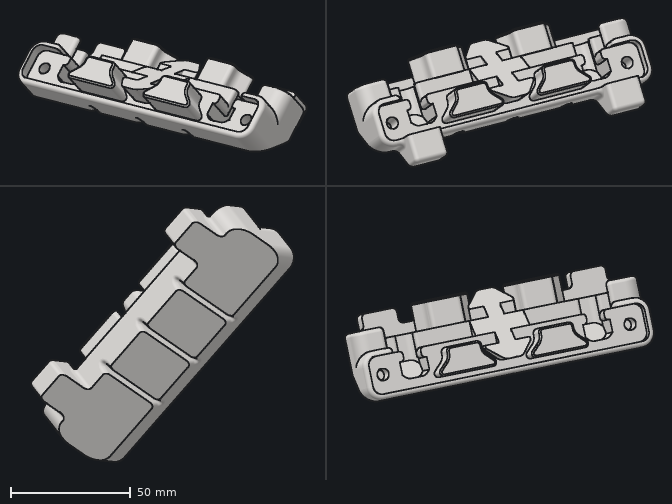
import cadquery as cq
import math


length = 125.6
outer_v = -9.2
peak_v = 12.0
corner_radius = 6.3
wall = 2.5
rim_height = 21.2
rim_fillet = 1.9
floor_height = 16.3
ridge_v = peak_v - wall
recess_outer_v = outer_v + wall
end_rim_start = 48.7
edge_fillet = 2.0

pin_hole_diameter = 5
pin_hole_depth = 10
pin_hole_x = 54
pin_hole_v = (outer_v + peak_v) / 2

plug_x = 20.1
plug_narrow = 7.5
plug_wide = 12.3
plug_top_v = 7.4
plug_shoulder_v = -2.0
plug_neck_v = plug_shoulder_v + plug_wide - plug_narrow
plug_bottom_v = -4.4
plug_height = 28.4
plug_root = 1.3
plug_top_fillet = 2.0
plug_neck_fillet = 4.5
plug_foot_fillet = 1.6
plug_chamfer = 0.8

nose_v = -2.5
nose_flat = 2.3
nose_radius = 3.6

hook_half_width = 9.8
hook_shoulder_v = 4.8
hook_neck = 3.5
hook_fillet = 0.5
hook_root = 1.3
deck_z = (floor_height + ridge_v) / math.sqrt(2)
bridge_half_length = 11.8
bridge_root = 1.3

slot_x = 40.1
slot_half_width = 5.9
slot_shoulder_v = 5.2
slot_neck = 3.9
slot_fillet = 1.5
slot_floor_z = 1.9

tab_x = 45.6
tab_width = 15.3
tab_outer_v = -19.2
tab_height = 28.1

groove_pitch = 25.0
groove_places = (-groove_pitch, 0, groove_pitch)
groove_top_radius = 0.8
groove_taper = math.radians(11)
groove_height = 3.5
groove_fillet = 2.0

beyond = 50.2
slack = 0.01

wing_axis = cq.Vector(0, -1, 1).normalized()


def wing_plane(height=0):
    """Plane across the axis of the -Y wing, with its X along the part and its Y along V."""
    return cq.Plane(origin=(wing_axis * height).toTuple(), xDir=(1, 0, 0), normal=wing_axis.toTuple())


def at_height(height):
    return cq.Workplane(wing_plane(height))


def wing_place(edge, both_wings):
    """Middle of an edge as |X|, V and N of the -Y wing, or of whichever wing it is on."""
    middle = edge.Center()
    y = -abs(middle.y) if both_wings else middle.y
    place = wing_plane().toLocalCoords(cq.Vector(abs(middle.x), y, middle.z))
    return place.x, place.y, place.z


def same(a, b):
    return abs(a - b) < slack


def edges_where(shape, test, both_wings=False):
    """Edges of shape whose middle, given as |X|, V and N, passes the test."""
    picked = [edge for edge in shape.edges().vals() if test(*wing_place(edge, both_wings))]
    return shape.newObject(picked)


def along_axis(shape, corner_x, corner_v):
    """Edges of shape that run along the wing axis through a corner of its profile."""
    return edges_where(shape, lambda x, v, n: same(x, corner_x) and same(v, corner_v))


def both_ends(feature):
    return feature.union(feature.mirror("YZ"))


def recess():
    half_length = length / 2 - wall
    pocket = (
        at_height(floor_height)
        .center(0, (recess_outer_v + ridge_v) / 2)
        .rect(2 * half_length, ridge_v - recess_outer_v)
        .extrude(beyond)
    )
    for v in (recess_outer_v, ridge_v):
        pocket = along_axis(pocket, half_length, v).fillet(corner_radius - wall)
    return pocket


def wing():
    """Wing of the -Y side: its rim closes around the ends and is open along the ridge."""
    half_length = length / 2
    slab = (
        at_height(0)
        .moveTo(-half_length, outer_v)
        .lineTo(half_length, outer_v)
        .lineTo(half_length, peak_v)
        .lineTo(end_rim_start, peak_v)
        .lineTo(end_rim_start, ridge_v)
        .lineTo(-end_rim_start, ridge_v)
        .lineTo(-end_rim_start, peak_v)
        .lineTo(-half_length, peak_v)
        .close()
        .extrude(rim_height)
    )
    for v in (outer_v, peak_v):
        slab = along_axis(slab, half_length, v).fillet(corner_radius)
    slab = along_axis(slab, end_rim_start, peak_v).fillet(edge_fillet)
    slab = slab.cut(recess())

    def on_outer_edge_of_rim(x, v, n):
        past_end = x > half_length - wall + slack
        past_side = v < recess_outer_v - slack or v > ridge_v + slack
        return same(n, rim_height) and (past_end or past_side)

    return edges_where(slab, on_outer_edge_of_rim).fillet(rim_fillet)


def tab():
    """Lug that carries the outer wall of the recess on, past the rim and past the outer face."""
    block = (
        at_height(0)
        .center(tab_x, (tab_outer_v + recess_outer_v) / 2)
        .rect(tab_width, recess_outer_v - tab_outer_v)
        .extrude(tab_height)
    )
    exposed = edges_where(block, lambda x, v, n: n > slack and v < recess_outer_v - slack)
    return exposed.fillet(edge_fillet)


def add_tabs(plain_wing):
    """Join the tabs to a wing and blend the corners between their sides and the rim."""
    joined = plain_wing.union(both_ends(tab()))

    def on_joint(x, v, n):
        on_side = same(abs(x - tab_x), tab_width / 2)
        on_wall = outer_v - slack < v < recess_outer_v - slack
        return on_side and on_wall and n < rim_height + slack

    return edges_where(joined, on_joint).fillet(edge_fillet)


def plug():
    block = (
        at_height(floor_height - plug_root)
        .moveTo(-plug_narrow, plug_top_v)
        .lineTo(plug_narrow, plug_top_v)
        .lineTo(plug_narrow, plug_neck_v)
        .lineTo(plug_wide, plug_shoulder_v)
        .lineTo(plug_wide, plug_bottom_v)
        .lineTo(-plug_wide, plug_bottom_v)
        .lineTo(-plug_wide, plug_shoulder_v)
        .lineTo(-plug_narrow, plug_neck_v)
        .close()
        .extrude(plug_height - floor_height + plug_root)
    )
    block = along_axis(block, plug_narrow, plug_top_v).fillet(plug_top_fillet)
    block = along_axis(block, plug_narrow, plug_neck_v).fillet(plug_neck_fillet)
    for v in (plug_shoulder_v, plug_bottom_v):
        block = along_axis(block, plug_wide, v).fillet(plug_foot_fillet)
    block = edges_where(block, lambda x, v, n: same(n, plug_height)).chamfer(plug_chamfer)
    return block.translate((plug_x, 0, 0))


def headed_profile(half_width, shoulder_v, neck, height):
    """Head with a rounded nose, 45-degree flanks and square shoulders, on a neck up to the peak.

    Each arc of the nose starts at the flat tip and turns through 45 degrees.
    """
    turn = math.pi / 4
    mid_x = nose_flat + nose_radius * math.sin(turn / 2)
    mid_v = nose_v + nose_radius * (1 - math.cos(turn / 2))
    turn_x = nose_flat + nose_radius * math.sin(turn)
    turn_v = nose_v + nose_radius * (1 - math.cos(turn))
    flank_v = turn_v + half_width - turn_x
    return (
        at_height(height)
        .moveTo(-nose_flat, nose_v)
        .lineTo(nose_flat, nose_v)
        .threePointArc((mid_x, mid_v), (turn_x, turn_v))
        .lineTo(half_width, flank_v)
        .lineTo(half_width, shoulder_v)
        .lineTo(neck, shoulder_v)
        .lineTo(neck, peak_v)
        .lineTo(-neck, peak_v)
        .lineTo(-neck, shoulder_v)
        .lineTo(-half_width, shoulder_v)
        .lineTo(-half_width, flank_v)
        .lineTo(-turn_x, turn_v)
        .threePointArc((-mid_x, mid_v), (-nose_flat, nose_v))
        .close()
    )


def hook():
    """Headed block that rises from the face of the wing and is cut off level at the deck."""
    root_height = floor_height - hook_root
    block = headed_profile(hook_half_width, hook_shoulder_v, hook_neck, root_height).extrude(beyond)
    for x in (hook_half_width, hook_neck):
        block = along_axis(block, x, hook_shoulder_v).fillet(hook_fillet)
    below_deck = cq.Workplane("XY").rect(length, length).extrude(deck_z)
    near_half = cq.Workplane("XZ").rect(length, length).extrude(length)
    return block.intersect(below_deck).intersect(near_half)


def bridge():
    """Block that fills the middle of the valley level with the deck."""
    valley_z = ridge_v * math.sqrt(2)
    half_width = deck_z - valley_z
    return (
        cq.Workplane("XY", origin=(0, 0, valley_z - bridge_root))
        .rect(2 * bridge_half_length, 2 * half_width)
        .extrude(half_width + bridge_root)
    )


def slot():
    """Keyhole slot with rounded shoulders, sunk from the face down to a level floor."""
    cutter = headed_profile(slot_half_width, slot_shoulder_v, slot_neck, 0).extrude(beyond)
    cutter = along_axis(cutter, slot_neck, slot_shoulder_v).fillet(slot_fillet)
    above_floor = cq.Workplane("XY", origin=(0, 0, slot_floor_z)).rect(length, length).extrude(length)
    return cutter.intersect(above_floor).translate((slot_x, 0, 0))


def round_slot_mouths(body):
    """Round the corners where the slot necks open into the valley."""

    def on_mouth(x, v, n):
        return same(abs(x - slot_x), slot_neck) and same(v, ridge_v)

    return edges_where(body, on_mouth, both_wings=True).fillet(slot_fillet)


def pin_hole():
    return (
        at_height(floor_height - pin_hole_depth)
        .center(pin_hole_x, pin_hole_v)
        .circle(pin_hole_diameter / 2)
        .extrude(beyond)
    )


def groove():
    """Tapered groove across the underside, with a round roof tangent to its flanks."""
    flank_x = groove_top_radius * math.cos(groove_taper)
    flank_z = groove_height - groove_top_radius * (1 - math.sin(groove_taper))
    mouth_x = flank_x + (flank_z + beyond) * math.tan(groove_taper)
    return (
        cq.Workplane("XZ")
        .moveTo(-mouth_x, -beyond)
        .lineTo(-flank_x, flank_z)
        .threePointArc((0, groove_height), (flank_x, flank_z))
        .lineTo(mouth_x, -beyond)
        .close()
        .extrude(beyond, both=True)
    )


def round_groove_ends(body):
    """Round the rims where the grooves break out through the outer faces."""

    def on_groove_rim(x, v, n):
        beside_groove = any(abs(x - place) < groove_pitch / 4 for place in groove_places)
        below_roof = (n + v) / math.sqrt(2) < groove_height + slack
        return beside_groove and below_roof and same(v, outer_v)

    return edges_where(body, on_groove_rim, both_wings=True).fillet(groove_fillet)


plain_wing = wing()
body = plain_wing.union(add_tabs(plain_wing).mirror("XZ"))

body = body.union(bridge())
for feature in (both_ends(plug()), hook()):
    body = body.union(feature).union(feature.mirror("XZ"))

for feature in (both_ends(slot()), both_ends(pin_hole())):
    body = body.cut(feature).cut(feature.mirror("XZ"))
body = round_slot_mouths(body)

for place in groove_places:
    body = body.cut(groove().translate((place, 0, 0)))
body = round_groove_ends(body)
below_base = cq.Workplane("XY").rect(2 * length, 2 * length).extrude(-length)
result = body.cut(below_base).clean()